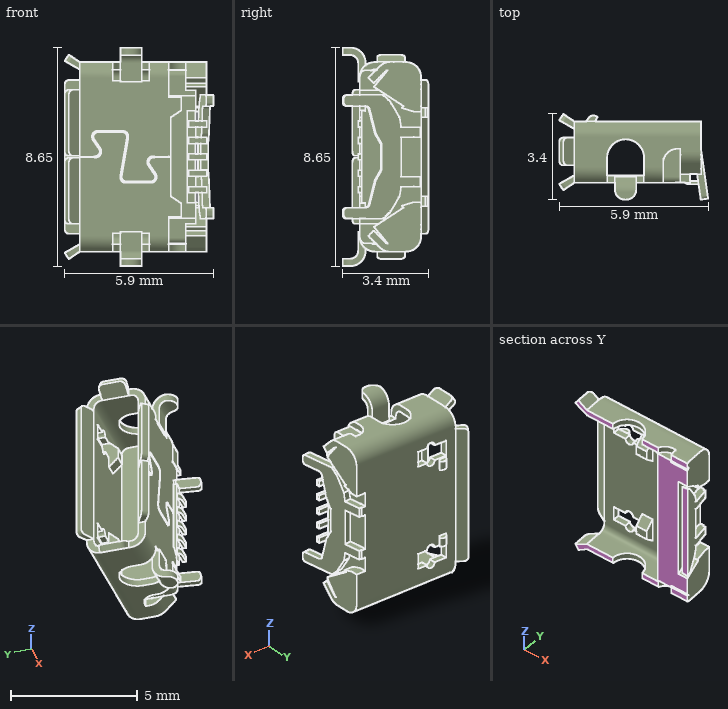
import cadquery as cq
import math


SHELL_LENGTH = 5.025
SHELL_HALF_DEPTH = 1.22
SHELL_HALF_HEIGHT = 3.75
SHEET = 0.3
BEND_RADIUS = 0.605
INNER_BEND_RADIUS = BEND_RADIUS - SHEET
INNER_HALF_DEPTH = SHELL_HALF_DEPTH - SHEET
INNER_HALF_HEIGHT = SHELL_HALF_HEIGHT - SHEET
WING_START = 4.2
WING_ANGLE = 45
WING_LENGTH = 0.63
MARGIN = 0.43

LIP_ANGLE = math.radians(34)
LIP_LENGTH = 0.52
LIP_CORNER = 0.2
LIP_HALF_HEIGHT = 3.045
SIDE_LIP_WIDTH = 1.11
SIDE_LIP_CENTRE = 0.03
SPLIT_LIP_START = 0.035
SPLIT_LIP_END = 2.655

LEG_CENTRE = 2.03
LEG_WIDTH = 0.85
LEG_OFFSET = 0.06
LEG_ROOT = 2.97
LEG_HALF_SPAN = 4.325
LEG_TIP_Y = -1.89
LEG_TIP_RADIUS = 0.4
ARCH_WIDTH = 1.45
ARCH_TOP = 0.5
ARCH_ROOT = 3.02

SIDE_WINDOW_START = 3.52
SIDE_WINDOW_TOP = 0.13
SIDE_WINDOW_RADIUS = 0.56
PLATE_END = 3.6
PLATE_EAR_END = 4.02
PLATE_NOTCH_HALF = 1.56
PLATE_EAR_START = 1.84
PLATE_EAR_TOP = 2.36

SEAM_CENTRE = 1.765
SEAM_NECK_X = 0.75
SEAM_TONGUE_X = 1.44
SEAM_SLANT_X = 0.17
SEAM_TONGUE_Z = 1.0
SEAM_LEAD_IN = 0.41
SEAM_RADIUS = 0.21
SEAM_GAP = 0.06
STRAIGHT_SEAM_GAP = 0.03

LATCH_WINDOW_START = 0.485
LATCH_WINDOW_END = 1.9
LATCH_WINDOW_INNER = 2.0
LATCH_WINDOW_OUTER = 2.68
RELIEF_X = 1.25
RELIEF_RADIUS = 0.19
LUG_Z = 2.145
LUG_LENGTH = 0.52
LUG_ROOT_WIDTH = 1.16
LUG_TIP_WIDTH = 0.43
LUG_TIP_Y = 0.54
DIMPLE_INNER = 1.565
DIMPLE_OUTER = 1.95
DIMPLE_FRONT = (0.47, 0)
DIMPLE_SHOULDER = (0.55, 0.11)
DIMPLE_CREST = (0.74, 0.23)
DIMPLE_HOOK = (0.925, 0.165)
DIMPLE_REAR = (0.84, 0)

HOUSING_REAR = 4.585
HOUSING_BOARD_Y = -1.2
HOUSING_CLEARANCE = 0.03
HOUSING_CORNER = 0.225
RECESS_Y = -0.99
RECESS_HALF = 2.42
HOUSING_TAIL_HALF = 2.64
PIN_BAR_START = 4.25
PIN_BAR_Y = -1.14
PIN_BAR_HALF = 1.82

CHEEK_WALL_Y = -0.09
CHEEK_RIDGE_OUTER = (-0.545, 2.9)
CHEEK_RIDGE_INNER = (-0.65, 2.77)
CHEEK_LEDGE_OUTER = (0.52, 2.01)
CHEEK_LEDGE_INNER = (0.45, 1.94)

PIN_COUNT = 5
PIN_PITCH = 0.65
PIN_WIDTH = 0.24
PIN_THICKNESS = 0.15
PIN_FACE_Y = -1.28
PIN_BEND_X = 4.57
PIN_BEND_RADIUS = 0.29
PIN_BEND_ANGLE = math.radians(80)

FLAP_ANGLE = 8.2
FLAP_TIP_X = 5.3
FLAP_TIP_Y = -1.84
FLAP_LEG_OUTER = 2.45
FLAP_LEG_INNER = 2.01
FLAP_LEG_CORNER = 0.15
FLAP_CROTCH_Y = -0.84
FLAP_CROTCH_RADIUS = 0.17
FLAP_TOP_Y = 0.45
FLAP_NOTCH_Y = -0.33
FLAP_NOTCH_HALF = 0.52
FLAP_LOWER_STEP = (-0.56, 0.925)
FLAP_LEG_TOP_Y = -0.26
FLAP_SHOULDER_LOW = (0.0, 2.21)
FLAP_SHOULDER_HIGH = (0.39, 1.56)
STRAP_INNER = 0.78
STRAP_OUTER = 1.18
REAR_OPENING_HALF = 1.79


def both_sides(body):
    """Add the mirror image across the mid plane z = 0."""
    return body.union(body.mirror("XY"))


def block(x_range, y_range, z_range):
    size = [high - low for low, high in (x_range, y_range, z_range)]
    start = (x_range[0], y_range[0], z_range[0])
    return cq.Workplane("XY").box(*size, centered=False).translate(start)


def rounded_bar(half_depth, half_height, radius, start, end):
    """Bar along X with a rounded rectangular section."""
    section = cq.Workplane("YZ", origin=(start, 0, 0)).rect(2 * half_depth, 2 * half_height)
    return section.extrude(end - start).edges("|X").fillet(radius)


def make_tube():
    outer = rounded_bar(SHELL_HALF_DEPTH, SHELL_HALF_HEIGHT, BEND_RADIUS, 0, SHELL_LENGTH)
    bore = rounded_bar(INNER_HALF_DEPTH, INNER_HALF_HEIGHT, INNER_BEND_RADIUS, 0, SHELL_LENGTH)
    rear = block(
        (WING_START, SHELL_LENGTH + MARGIN),
        (-SHELL_HALF_DEPTH - MARGIN, 0),
        (-SHELL_HALF_HEIGHT - MARGIN, SHELL_HALF_HEIGHT + MARGIN),
    )
    return outer.cut(bore).cut(rear)


def make_wing():
    """Rear side wall folded towards the middle."""
    centre_z = SHELL_HALF_HEIGHT - BEND_RADIUS

    def on_bend(radius, degrees):
        turn = math.radians(degrees)
        return (-radius * math.sin(turn), centre_z + radius * math.cos(turn))

    def past_bend(radius):
        y, z = on_bend(radius, WING_ANGLE)
        turn = math.radians(WING_ANGLE)
        return (y - WING_LENGTH * math.cos(turn), z - WING_LENGTH * math.sin(turn))

    return (
        cq.Workplane("YZ", origin=(WING_START, 0, 0))
        .moveTo(*on_bend(BEND_RADIUS, 0))
        .threePointArc(on_bend(BEND_RADIUS, WING_ANGLE / 2), on_bend(BEND_RADIUS, WING_ANGLE))
        .lineTo(*past_bend(BEND_RADIUS))
        .lineTo(*past_bend(INNER_BEND_RADIUS))
        .lineTo(*on_bend(INNER_BEND_RADIUS, WING_ANGLE))
        .threePointArc(on_bend(INNER_BEND_RADIUS, WING_ANGLE / 2), on_bend(INNER_BEND_RADIUS, 0))
        .close()
        .extrude(SHELL_LENGTH - WING_START)
    )


def make_lip(wall_distance, start, end, turn):
    """Lip flaring outwards from the +Y wall, then turned about X onto its own wall."""
    along_x, along_y = -math.cos(LIP_ANGLE), math.sin(LIP_ANGLE)
    tip = (LIP_LENGTH * along_x, wall_distance + LIP_LENGTH * along_y)
    inner_tip = (tip[0] - SHEET * along_y, tip[1] + SHEET * along_x)
    profile = [(0, wall_distance), tip, inner_tip, (0, wall_distance - SHEET)]
    across_sheet = cq.selectors.ParallelDirSelector(cq.Vector(-along_y, along_x, 0))
    return (
        cq.Workplane("XY", origin=(0, 0, start))
        .polyline(profile)
        .close()
        .extrude(end - start)
        .edges(across_sheet)
        .fillet(LIP_CORNER)
        .rotate((0, 0, 0), (1, 0, 0), turn)
    )


def make_lips():
    side_start = -SIDE_LIP_CENTRE - SIDE_LIP_WIDTH / 2
    side = make_lip(SHELL_HALF_HEIGHT, side_start, side_start + SIDE_LIP_WIDTH, 90)
    split = make_lip(SHELL_HALF_DEPTH, SPLIT_LIP_START, SPLIT_LIP_END, 180)
    back = make_lip(SHELL_HALF_DEPTH, -LIP_HALF_HEIGHT, LIP_HALF_HEIGHT, 0)
    return both_sides(side).union(both_sides(split)).union(back)


def make_leg_arch():
    """Arched window through a side wall and the edge of the board face."""
    radius = ARCH_WIDTH / 2
    low = -SHELL_HALF_DEPTH - MARGIN
    spring_y = ARCH_TOP - radius
    return (
        cq.Workplane("XY", origin=(0, 0, ARCH_ROOT))
        .moveTo(LEG_CENTRE - radius, low)
        .lineTo(LEG_CENTRE - radius, spring_y)
        .threePointArc((LEG_CENTRE, ARCH_TOP), (LEG_CENTRE + radius, spring_y))
        .lineTo(LEG_CENTRE + radius, low)
        .close()
        .extrude(SHELL_HALF_HEIGHT)
    )


def make_leg():
    """Leg running outwards along the board face, then bent towards the board."""
    outer_y = -SHELL_HALF_DEPTH - LEG_OFFSET
    inner_y = outer_y + SHEET
    bend_y = outer_y - INNER_BEND_RADIUS
    bend_z = LEG_HALF_SPAN - BEND_RADIUS
    diagonal = math.sqrt(0.5)

    def mid_arc(radius):
        return (bend_y + radius * diagonal, bend_z + radius * diagonal)

    return (
        cq.Workplane("YZ", origin=(LEG_CENTRE - LEG_WIDTH / 2, 0, 0))
        .moveTo(inner_y, LEG_ROOT)
        .lineTo(inner_y, bend_z)
        .threePointArc(mid_arc(BEND_RADIUS), (bend_y, LEG_HALF_SPAN))
        .lineTo(LEG_TIP_Y, LEG_HALF_SPAN)
        .lineTo(LEG_TIP_Y, LEG_HALF_SPAN - SHEET)
        .lineTo(bend_y, LEG_HALF_SPAN - SHEET)
        .threePointArc(mid_arc(INNER_BEND_RADIUS), (outer_y, bend_z))
        .lineTo(outer_y, LEG_ROOT)
        .close()
        .extrude(LEG_WIDTH)
        .faces("<Y")
        .edges("|Z")
        .fillet(LEG_TIP_RADIUS)
    )


def make_side_window():
    """Window round the rear corner, with a rounded upper front corner."""
    low = -SHELL_HALF_DEPTH - MARGIN
    z_range = (PLATE_EAR_TOP, SHELL_HALF_HEIGHT + MARGIN)
    window = block((SIDE_WINDOW_START, WING_START), (low, SIDE_WINDOW_TOP), z_range)
    return window.edges("|Z and <X and >Y").fillet(SIDE_WINDOW_RADIUS)


def make_plate_end_cut():
    """Removes the board face behind its notched rear edge."""
    outline = [
        (PLATE_END, 0),
        (PLATE_END, PLATE_NOTCH_HALF),
        (PLATE_EAR_END, PLATE_EAR_START),
        (PLATE_EAR_END, PLATE_EAR_TOP),
        (WING_START, PLATE_EAR_TOP),
        (WING_START, 0),
    ]
    depth = SHEET + MARGIN
    cutter = cq.Workplane("XZ", origin=(0, -INNER_HALF_DEPTH, 0)).polyline(outline).close().extrude(depth)
    return both_sides(cutter)


def make_seam():
    """Dovetail gap along which the two edges of the folded sheet meet."""
    half = [(SEAM_NECK_X, 0), (SEAM_TONGUE_X, -SEAM_TONGUE_Z), (-SEAM_SLANT_X, -SEAM_TONGUE_Z)]
    bends = [(-x, -z) for x, z in half] + half[::-1]
    reach = SEAM_NECK_X + SEAM_LEAD_IN
    corners = [(SEAM_CENTRE + x, z) for x, z in [(-reach, 0)] + bends + [(reach, 0)]]
    middle = cq.Wire.makePolygon([cq.Vector(x, -INNER_HALF_DEPTH, z) for x, z in corners])
    outline = middle.fillet(SEAM_RADIUS).offset2D(SEAM_GAP / 2)[0]
    dovetail = cq.Workplane(cq.Solid.extrudeLinear(outline, [], cq.Vector(0, -SHEET - MARGIN, 0)))
    y_range = (-SHELL_HALF_DEPTH - MARGIN, -INNER_HALF_DEPTH)
    z_range = (-STRAIGHT_SEAM_GAP / 2, STRAIGHT_SEAM_GAP / 2)
    front = block((0, SEAM_CENTRE - reach), y_range, z_range)
    rear = block((SEAM_CENTRE + reach, PLATE_END), y_range, z_range)
    return dovetail.union(front).union(rear)


def make_latch_window():
    """Rectangular window with round reliefs half way along its two long edges."""
    y_range = (INNER_HALF_DEPTH - 0.09, SHELL_HALF_DEPTH + 0.09)
    x_range = (LATCH_WINDOW_START, LATCH_WINDOW_END)
    window = block(x_range, y_range, (LATCH_WINDOW_INNER, LATCH_WINDOW_OUTER))
    reliefs = (
        cq.Workplane("XZ", origin=(0, y_range[1], 0))
        .pushPoints([(RELIEF_X, LATCH_WINDOW_INNER), (RELIEF_X, LATCH_WINDOW_OUTER)])
        .circle(RELIEF_RADIUS)
        .extrude(y_range[1] - y_range[0])
    )
    return window.union(reliefs)


def make_lug():
    """Tapered latch lug hanging from the +Y wall into the opening."""
    root, tip = LUG_ROOT_WIDTH / 2, LUG_TIP_WIDTH / 2
    wall = INNER_HALF_DEPTH
    section = [
        (wall, LUG_Z - root),
        (wall, LUG_Z + root),
        (LUG_TIP_Y, LUG_Z + tip),
        (LUG_TIP_Y, LUG_Z - tip),
    ]
    return cq.Workplane("YZ", origin=(LATCH_WINDOW_END, 0, 0)).polyline(section).close().extrude(LUG_LENGTH)


def make_dimple():
    """Rounded bump on the outside of the +Y wall."""
    return (
        cq.Workplane("XY", origin=(0, SHELL_HALF_DEPTH, DIMPLE_INNER))
        .moveTo(*DIMPLE_FRONT)
        .lineTo(*DIMPLE_SHOULDER)
        .threePointArc(DIMPLE_CREST, DIMPLE_HOOK)
        .lineTo(*DIMPLE_REAR)
        .close()
        .extrude(DIMPLE_OUTER - DIMPLE_INNER)
    )


def make_shell():
    cuts = both_sides(make_leg_arch()).union(both_sides(make_side_window()))
    cuts = cuts.union(both_sides(make_latch_window()))
    shell = make_tube().cut(cuts).cut(make_plate_end_cut()).cut(make_seam())
    y_range = (INNER_HALF_DEPTH - 0.09, SHELL_HALF_DEPTH + 0.09)
    rear = (HOUSING_REAR, SHELL_LENGTH + 0.09)
    shell = shell.cut(block(rear, y_range, (-REAR_OPENING_HALF, REAR_OPENING_HALF)))
    for part in (make_wing(), make_leg(), make_lug(), make_dimple()):
        shell = shell.union(both_sides(part))
    return shell.union(make_lips())


def make_housing():
    half_height = INNER_HALF_HEIGHT - HOUSING_CLEARANCE
    core = rounded_bar(INNER_HALF_DEPTH, half_height, INNER_BEND_RADIUS, SIDE_WINDOW_START, WING_START)
    shoulder = block((SIDE_WINDOW_START, WING_START), (HOUSING_BOARD_Y, 0), (RECESS_HALF, half_height))
    shoulder = shoulder.edges("|X and >Z and <Y").fillet(HOUSING_CORNER)
    floor_depth = (RECESS_Y, INNER_HALF_DEPTH)
    floor = block((SIDE_WINDOW_START, HOUSING_REAR), floor_depth, (-RECESS_HALF, RECESS_HALF))
    tail_depth = (HOUSING_BOARD_Y, INNER_HALF_DEPTH)
    tail = block((WING_START, HOUSING_REAR), tail_depth, (RECESS_HALF, HOUSING_TAIL_HALF))
    bar = block((PIN_BAR_START, HOUSING_REAR), (PIN_BAR_Y, 0), (-PIN_BAR_HALF, PIN_BAR_HALF))
    housing = core.union(floor).union(bar)
    for part in (shoulder, tail, make_cheek()):
        housing = housing.union(both_sides(part))
    return housing


def make_cheek():
    """Sloped block filling the corner between the rear side wall and the +Y wall."""
    section = [
        (INNER_HALF_DEPTH, INNER_HALF_HEIGHT),
        (CHEEK_WALL_Y, INNER_HALF_HEIGHT),
        CHEEK_RIDGE_OUTER,
        CHEEK_RIDGE_INNER,
        CHEEK_LEDGE_OUTER,
        CHEEK_LEDGE_INNER,
        (INNER_HALF_DEPTH, REAR_OPENING_HALF),
    ]
    cheek = cq.Workplane("YZ", origin=(WING_START, 0, 0)).polyline(section).close()
    return cheek.extrude(SHELL_LENGTH - WING_START)


def make_pins():
    centre_y = PIN_FACE_Y + PIN_BEND_RADIUS
    inner_radius = PIN_BEND_RADIUS - PIN_THICKNESS

    def on_bend(radius, turn):
        return (PIN_BEND_X - radius * math.sin(turn), centre_y - radius * math.cos(turn))

    outer_mid = on_bend(PIN_BEND_RADIUS, PIN_BEND_ANGLE / 2)
    outer_end = on_bend(PIN_BEND_RADIUS, PIN_BEND_ANGLE)
    pin = (
        cq.Workplane("XY", origin=(0, 0, -PIN_WIDTH / 2))
        .moveTo(SHELL_LENGTH, PIN_FACE_Y)
        .lineTo(*on_bend(PIN_BEND_RADIUS, 0))
        .threePointArc(outer_mid, outer_end)
        .lineTo(*on_bend(inner_radius, PIN_BEND_ANGLE))
        .threePointArc(on_bend(inner_radius, PIN_BEND_ANGLE / 2), on_bend(inner_radius, 0))
        .lineTo(SHELL_LENGTH, PIN_FACE_Y + PIN_THICKNESS)
        .close()
        .extrude(PIN_WIDTH)
    )
    pins = cq.Workplane("XY")
    for index in range(PIN_COUNT):
        pins = pins.union(pin.translate((0, 0, (index - (PIN_COUNT - 1) / 2) * PIN_PITCH)))
    return pins


def make_flap():
    """Tilted rear flap hanging on two straps from the +Y wall."""
    half = [
        (FLAP_NOTCH_Y, 0),
        (FLAP_NOTCH_Y, FLAP_NOTCH_HALF),
        FLAP_LOWER_STEP,
        (FLAP_CROTCH_Y, FLAP_LEG_INNER),
        (FLAP_TIP_Y, FLAP_LEG_INNER),
        (FLAP_TIP_Y, FLAP_LEG_OUTER),
        (FLAP_LEG_TOP_Y, FLAP_LEG_OUTER),
        FLAP_SHOULDER_LOW,
        FLAP_SHOULDER_HIGH,
        (FLAP_TOP_Y, STRAP_OUTER),
        (SHELL_HALF_DEPTH, STRAP_OUTER),
        (SHELL_HALF_DEPTH, STRAP_INNER),
        (FLAP_TOP_Y, STRAP_INNER),
        (FLAP_TOP_Y, 0),
    ]
    flap = cq.Workplane("YZ", origin=(FLAP_TIP_X - SHEET, 0, 0)).polyline(half).close().extrude(SHEET)
    crotch = cq.selectors.NearestToPointSelector((FLAP_TIP_X - SHEET / 2, FLAP_CROTCH_Y, FLAP_LEG_INNER))
    flap = flap.faces("<Y").edges("|X").fillet(FLAP_LEG_CORNER)
    flap = flap.edges(crotch).fillet(FLAP_CROTCH_RADIUS)
    flap = both_sides(flap).rotate((FLAP_TIP_X, FLAP_TIP_Y, 0), (FLAP_TIP_X, FLAP_TIP_Y, 1), FLAP_ANGLE)
    wall = (INNER_HALF_DEPTH, SHELL_HALF_DEPTH)
    root = block((HOUSING_REAR - 0.09, HOUSING_REAR + 0.17), wall, (STRAP_INNER, STRAP_OUTER))
    return flap.union(both_sides(root))


result = make_shell().union(make_housing()).union(make_pins()).union(make_flap())